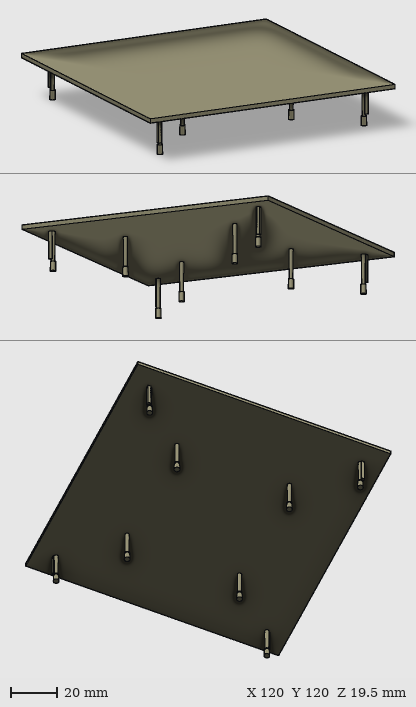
import cadquery as cq

plate_side = 120.0
plate_thickness = 2.0

pin_length = 17.5
foot_height = 4.2
foot_top_diameter = 2.35
foot_bottom_diameter = 2.5
stem_top_diameter = 1.95
stem_bottom_diameter = 1.65
outer_pin_offset = 50.0
inner_pin_offset = 26.67

bar_length = 12.25
bar_side = 1.5
bar_corner_offset = 51.4

stem_length = pin_length - foot_height
bar_offset = bar_corner_offset - bar_side / 2


def make_plate():
    return cq.Workplane("XY").rect(plate_side, plate_side).extrude(plate_thickness)


def make_pin(x, y):
    """Stem tapering downward from the plate, ending in a wider, slightly flared foot."""
    half_profile = [
        (0, 0),
        (stem_top_diameter / 2, 0),
        (stem_bottom_diameter / 2, -stem_length),
        (foot_top_diameter / 2, -stem_length),
        (foot_bottom_diameter / 2, -pin_length),
        (0, -pin_length),
    ]
    pin = cq.Workplane("XZ").polyline(half_profile).close().revolve(360, (0, 0), (0, 1))
    return pin.translate((x, y, 0))


def make_bar(x, y):
    """Square bar hanging from the plate, overlapping the stem of an outer pin."""
    return cq.Workplane("XY").center(x, y).rect(bar_side, bar_side).extrude(-bar_length)


result = make_plate()
for x_sign in (-1, 1):
    for y_sign in (-1, 1):
        for offset in (outer_pin_offset, inner_pin_offset):
            result = result.union(make_pin(x_sign * offset, y_sign * offset))
        result = result.union(make_bar(x_sign * bar_offset, y_sign * bar_offset))